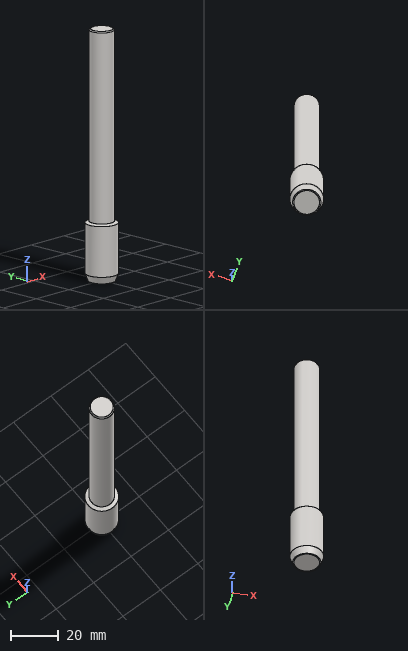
import cadquery as cq

total_length = 110.0
rod_radius = 5.4
sleeve_radius = 7.2

rod_bevel_width = 0.5
rod_bevel_height = 0.5

sleeve_height = 26.1
shoulder_height = 0.7
lead_in_height = 3.3
lead_in_end_radius = 5.9


def make_rod():
    """Round rod running through the sleeve, bevelled at its top end."""
    return (
        cq.Workplane("XZ")
        .lineTo(rod_radius, 0)
        .lineTo(rod_radius, total_length - rod_bevel_height)
        .lineTo(rod_radius - rod_bevel_width, total_length)
        .lineTo(0, total_length)
        .close()
        .revolve(360, (0, 0), (0, 1))
    )


def make_sleeve():
    """Sleeve around the foot of the rod, with a bore that fits the rod."""
    return (
        cq.Workplane("XZ")
        .moveTo(rod_radius, 0)
        .lineTo(lead_in_end_radius, 0)
        .lineTo(sleeve_radius, lead_in_height)
        .lineTo(sleeve_radius, sleeve_height - shoulder_height)
        .lineTo(rod_radius, sleeve_height)
        .close()
        .revolve(360, (0, 0), (0, 1))
    )


rod = make_rod()
sleeve = make_sleeve()

result = cq.Compound.makeCompound([rod.val(), sleeve.val()])